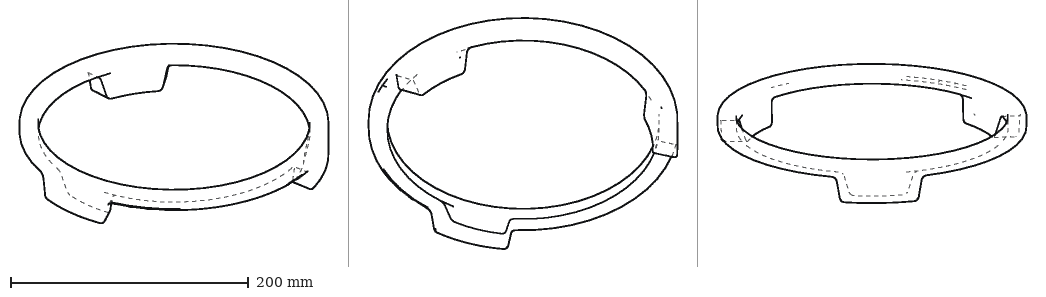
import cadquery as cq
import math

outer_radius = 130.0
inner_radius = 114.1
ring_height = 13.3
top_round = 3.0
rim_round = 2.3

total_height = 35.0
lug_angles = (30, 150, 270)
lug_tip_radius = 109.2
lug_root_half_width = 40.3
lug_tip_half_width = 36.1
lug_convergence = 0.52
lug_round = 4.7
modelled_angle = 270

block_outer = outer_radius + 2.5
block_inner = lug_tip_radius - 15.5


def lug_outline(distance):
    """Right half of a lug outline, root to tip, at a given distance from the ring axis."""
    narrowing = lug_convergence * (outer_radius - distance)
    root = lug_root_half_width - narrowing
    tip = lug_tip_half_width - narrowing
    slant = math.atan2(root - tip, total_height - ring_height)
    setback = lug_round * math.tan((math.pi / 2 - slant) / 2)
    along_x = setback * math.sin(slant)
    along_z = setback * math.cos(slant)
    bulge = lug_round * (1 / math.cos((math.pi / 2 - slant) / 2) - 1)
    bisector = (math.pi / 2 + slant) / 2
    mid_x = bulge * math.cos(bisector)
    mid_z = bulge * math.sin(bisector)
    return {
        "root_start": (root + setback, -ring_height),
        "root_middle": (root + mid_x, -ring_height - mid_z),
        "root_end": (root - along_x, -ring_height - along_z),
        "tip_start": (tip + along_x, -total_height + along_z),
        "tip_middle": (tip - mid_x, -total_height + mid_z),
        "tip_end": (tip - setback, -total_height),
    }


def lug_wire(distance):
    """Closed lug outline, carried up into the ring disc so the bodies overlap."""
    right = lug_outline(distance)
    left = {name: (-x, z) for name, (x, z) in right.items()}
    overlap_z = -ring_height / 2
    return (
        cq.Workplane("XZ", origin=(0, -distance, 0))
        .moveTo(right["root_start"][0], overlap_z)
        .lineTo(*right["root_start"])
        .threePointArc(right["root_middle"], right["root_end"])
        .lineTo(*right["tip_start"])
        .threePointArc(right["tip_middle"], right["tip_end"])
        .lineTo(*left["tip_end"])
        .threePointArc(left["tip_middle"], left["tip_start"])
        .lineTo(*left["root_end"])
        .threePointArc(left["root_middle"], left["root_start"])
        .lineTo(left["root_start"][0], overlap_z)
        .close()
        .val()
    )


def make_bore():
    """Space inside the ring and lugs: a cylinder within the ring, tapering in below it."""
    return (
        cq.Workplane("XZ")
        .lineTo(inner_radius, 0)
        .lineTo(inner_radius, -ring_height)
        .lineTo(lug_tip_radius, -total_height)
        .lineTo(0, -total_height)
        .close()
        .revolve(360, (0, 0, 0), (0, 1, 0))
    )


def make_lug_block():
    """Untrimmed lug on the -Y side of the ring."""
    return cq.Workplane(cq.Solid.makeLoft([lug_wire(block_outer), lug_wire(block_inner)], True))


body = cq.Workplane("XY").circle(block_outer).extrude(-ring_height)
lug_block = make_lug_block()
for angle in lug_angles:
    body = body.union(lug_block.rotate((0, 0, 0), (0, 0, 1), angle - modelled_angle))
body = body.cut(make_bore())

body = body.intersect(cq.Workplane("XY").circle(outer_radius).extrude(-total_height))
body = body.faces(">Z").edges().fillet(top_round)

outer_face = max(body.faces("%CYLINDER").vals(), key=lambda face: face.Area())
rim_edges = [edge for edge in outer_face.Edges() if edge.Center().z < -ring_height + rim_round]
result = body.newObject(rim_edges).fillet(rim_round)